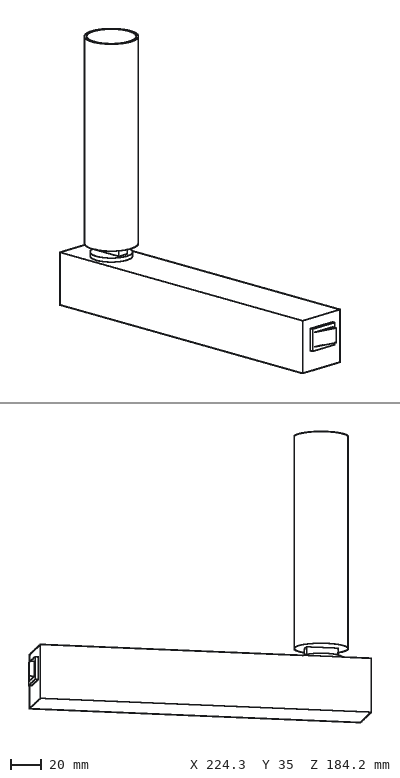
import cadquery as cq
import math

total_length = 224.3
total_height = 184.2

bar_length = 219.0
bar_width = 35.0
bar_height = 35.7

tube_x = 29.5
tube_diameter = 35.0
tube_length = 140.0
collar_diameter = 27.5
collar_height = 2.7
neck_length = 20.9
neck_width = 7.6
neck_height = total_height - bar_height - collar_height - tube_length

bowl_diameter = 32.0
bowl_depth = 13.5

switch_z = 21.3
plate_thickness = 2.0
plate_width = 20.6
plate_height = 15.0
rocker_width = 16.5
rocker_height = 9.9
rocker_rise = total_length - bar_length - plate_thickness


def make_bar():
    return cq.Workplane("XY").box(bar_length, bar_width, bar_height, centered=(False, True, False))


def make_support():
    """Round collar on the bar with a flat neck standing on it."""
    collar = (
        cq.Workplane("XY", origin=(tube_x, 0, bar_height))
        .circle(collar_diameter / 2)
        .extrude(collar_height)
    )
    return collar.faces(">Z").workplane().rect(neck_length, neck_width).extrude(neck_height)


def make_tube():
    """Cylinder with a bowl in its top, revolved about its own axis."""
    outer_radius = tube_diameter / 2
    bowl_radius = bowl_diameter / 2
    bowl_bottom = tube_length - bowl_depth
    sphere_radius = (bowl_radius**2 + bowl_depth**2) / (2 * bowl_depth)
    half_angle = math.asin(bowl_radius / sphere_radius) / 2
    arc_middle = (
        sphere_radius * math.sin(half_angle),
        bowl_bottom + sphere_radius * (1 - math.cos(half_angle)),
    )
    return (
        cq.Workplane("XZ")
        .moveTo(0, 0)
        .lineTo(outer_radius, 0)
        .lineTo(outer_radius, tube_length)
        .lineTo(bowl_radius, tube_length)
        .threePointArc(arc_middle, (0, bowl_bottom))
        .close()
        .revolve(360, (0, 0), (0, 1))
        .translate((tube_x, 0, total_height - tube_length))
    )


def make_switch():
    """Rectangular plate with a wedge-shaped rocker that rises toward +Y."""
    plate = (
        cq.Workplane("YZ", origin=(bar_length, 0, switch_z))
        .rect(plate_width, plate_height)
        .extrude(plate_thickness)
    )
    plate_face = bar_length + plate_thickness
    rocker = (
        cq.Workplane("XY", origin=(plate_face, 0, switch_z))
        .moveTo(0, -rocker_width / 2)
        .lineTo(rocker_rise, rocker_width / 2)
        .lineTo(0, rocker_width / 2)
        .close()
        .extrude(rocker_height / 2, both=True)
    )
    return plate.union(rocker)


result = make_bar().union(make_support()).union(make_tube()).union(make_switch())